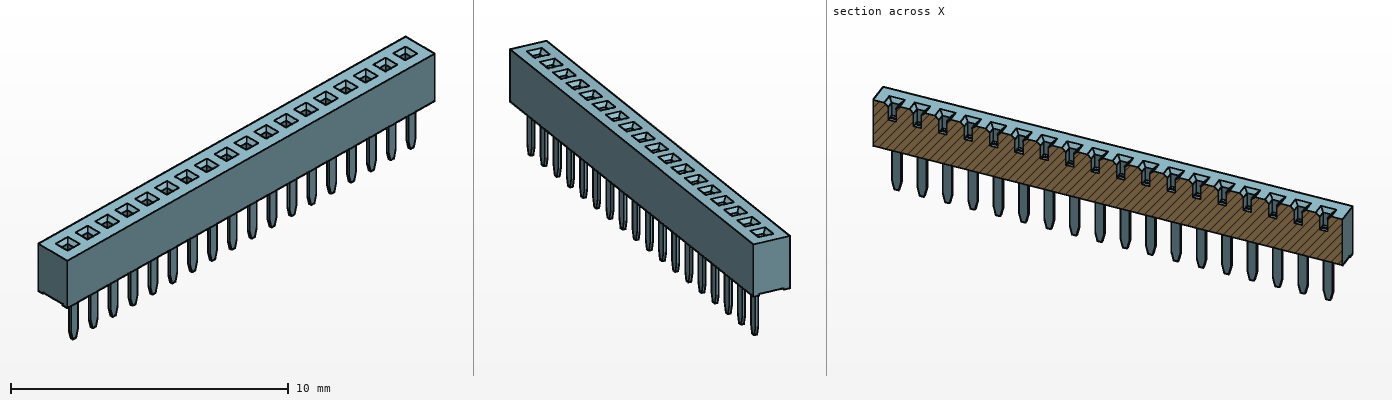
import cadquery as cq


contact_count = 18
length = 18.5
end_margin_pitches = 0.75
pitch = length / (contact_count - 1 + 2 * end_margin_pitches)
width = 1.5
height = 2.09
groove_width = 1.0
groove_depth = 0.05

mouth_size = 0.61
well_size = 0.3
lead_in_depth = 0.15
well_depth = 0.55
slit_width = 0.05
slit_depth = 0.28

overall_height = 4.0
pin_length = overall_height - height
pin_width = 0.35
pin_thickness = 0.12
pin_offset = 0.3
tip_width = 0.17
tip_length = 0.37
pin_embed = 0.18

first_contact = -pitch * (contact_count - 1) / 2
contact_positions = [first_contact + index * pitch for index in range(contact_count)]


def make_housing():
    """Rectangular bar with a shallow groove along its underside."""
    bar = cq.Workplane("XY").box(width, length, height, centered=(True, True, False))
    groove = cq.Workplane("XY").box(groove_width, length, groove_depth, centered=(True, True, False))
    return bar.cut(groove)


def make_socket(y):
    """Solid to remove from the top of the housing for one contact."""
    lead_in = (
        cq.Workplane("XY", origin=(0, y, height))
        .rect(mouth_size, mouth_size)
        .workplane(offset=-lead_in_depth)
        .rect(well_size, well_size)
        .loft(ruled=True)
    )
    floor_depth = lead_in_depth + well_depth
    well = cq.Workplane("XY", origin=(0, y, height)).rect(well_size, well_size).extrude(-floor_depth)
    slit = (
        cq.Workplane("XY", origin=(0, y, height))
        .rect(slit_width, well_size)
        .extrude(-(floor_depth + slit_depth))
    )
    return lead_in.union(well).union(slit)


def make_pin(y):
    """Flat pin with a tapered tip, rooted in the housing above the groove."""
    root_z = groove_depth + pin_embed
    shoulder_z = tip_length - pin_length
    outline = [
        (y - pin_width / 2, root_z),
        (y + pin_width / 2, root_z),
        (y + pin_width / 2, shoulder_z),
        (y + tip_width / 2, -pin_length),
        (y - tip_width / 2, -pin_length),
        (y - pin_width / 2, shoulder_z),
    ]
    return (
        cq.Workplane("YZ", origin=(pin_offset, 0, 0))
        .polyline(outline)
        .close()
        .extrude(pin_thickness / 2, both=True)
    )


result = make_housing()
for contact_y in contact_positions:
    result = result.cut(make_socket(contact_y))
    result = result.union(make_pin(contact_y))